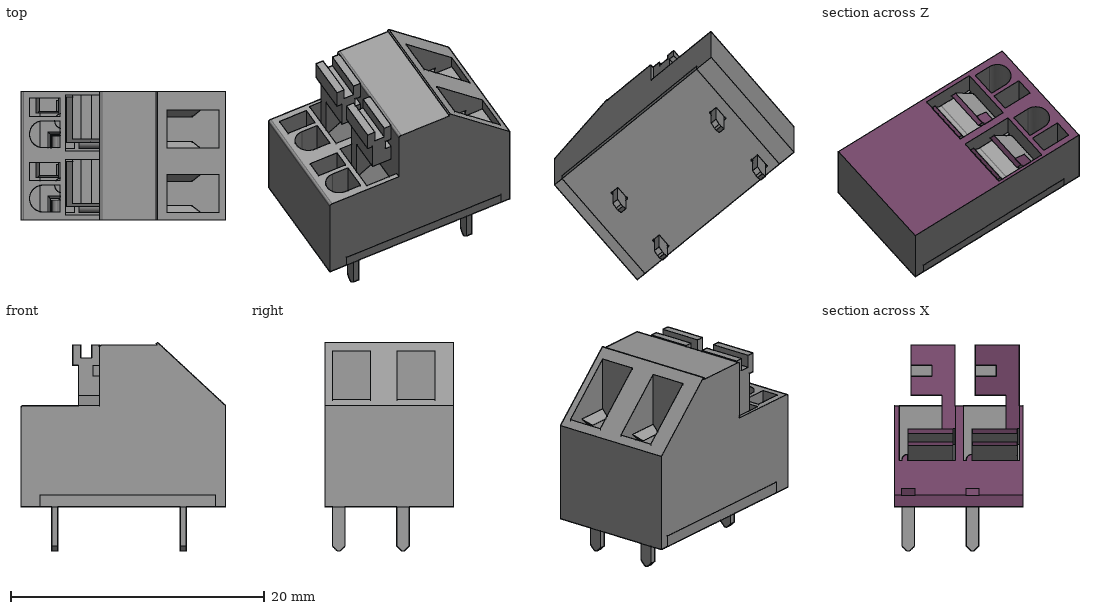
import cadquery as cq
import math

LENGTH = 16.2
PITCH = 5.08
POLES = 2
WIDTH = POLES * PITCH
SHELF_Z = 8.0
TOP_Z = 12.8
PEAK_Z = 13.0
PEAK_X = 10.82
LIP_X = 10.71
LIP_Z = 12.9
LIP_ROOT_X = 10.75
BACK_WALL_X = 6.22
EDGE_RADIUS = 0.2

COVER_X0 = 1.5
COVER_X1 = 15.41
COVER_TOP = 0.92

PIN_X = 2.45
PIN_SPACING = 2 * PITCH
SHEET = 0.5
PIN_WIDTH = 1.0
PIN_Y = 1.09
PIN_DEPTH = 3.5
PIN_TIP = 0.4
BEND_RADIUS = SHEET
STRIP_TOP = COVER_TOP + SHEET
TERMINAL_X1 = PIN_X + PIN_SPACING + SHEET

PIN_CLEARANCE = 0.1
LEAD_IN = 0.2

WELL_X0 = 0.7
WELL_X1 = 3.12
SQUARE_WELL_Y0 = 3.12
SQUARE_WELL_Y1 = 4.55
ROUND_WELL_Y = 1.7
ROUND_WELL_RADIUS = 1.05

PAD_X0 = 1.22
PAD_TOP_X0 = 1.47
PAD_TOP_X1 = 2.84
PAD_X1 = 3.0
PAD_Y0 = 3.37
PAD_BEVEL = 0.15
PAD_HEIGHT = 0.31
PAD_RAMP_RISE = 0.12
PAD_RAMP_Y1 = 4.37
RECESS_DIAMETER = 1.2
RECESS_X = 3.28
RECESS_Y = 2.75
RECESS_DEPTH = 0.16

POCKET_X0 = 3.53
POCKET_Y0 = 0.38
POCKET_Y1 = 4.8
POCKET_WELL_X1 = 4.25
POCKET_WELL_Y0 = 0.58
POCKET_WELL_DEPTH = 0.33
RIB_X0 = 4.62
RIB_RADIUS = 0.48

SPRING_ANGLE = math.radians(42)
SPRING_OUTER = 1.8 / 2
SPRING_INNER = 1.2 / 2
SPRING_Z = 5.75
SPRING_TIP_X = 3.63
SPRING_LEG = 1.32
SPRING_Y0 = 1.05
SPRING_Y1 = 4.64

LEVER_Y0 = 1.3
LEVER_HEAD_X = 4.11
LEVER_STEM_X = 4.55
LEVER_HEAD_Z = 11.19
GROOVE_X0 = 4.75
GROOVE_X1 = 5.6
GROOVE_Z = 11.78
NOTCH_X = 5.71
NOTCH_Z = 10.33
NOTCH_LENGTH = 1.65
STEM_Z = 8.81
FOOT_FRONT_Y = 3.95
FOOT_BACK_Y = 3.68

ENTRY_X0 = 11.55
ENTRY_X1 = 15.68
ENTRY_Y0 = 0.6
ENTRY_Y1 = 3.6
ENTRY_FLOOR = 7.42
WEDGE_X1 = 13.53
WEDGE_WIDTH = 0.55
WEDGE_RISE = 0.63
WEDGE_OVERHANG = 0.68

SPRING_SINE = math.sin(SPRING_ANGLE)
SPRING_COSINE = math.cos(SPRING_ANGLE)
SPRING_SLOPE = math.tan(SPRING_ANGLE)
SPRING_X = BACK_WALL_X + SPRING_OUTER * SPRING_SINE
CHAMBER_X1 = SPRING_X + SPRING_OUTER


def leaf_z(x, radius):
    """Height of the spring leaf surface that is tangent to the bend of the given radius."""
    return SPRING_Z + radius / SPRING_COSINE + (x - SPRING_X) * SPRING_SLOPE


POCKET_FLOOR = leaf_z(SPRING_TIP_X, SPRING_INNER)


def box(x0, x1, y0, y1, z0, z1):
    return cq.Workplane("XY").box(x1 - x0, y1 - y0, z1 - z0, centered=False).translate((x0, y0, z0))


def extrude_along_y(outline, y0, y1):
    """Extrude a closed XZ outline from y0 to y1."""
    return outline.close().extrude(y0 - y1).translate((0, y0, 0))


def housing_block():
    """Stepped block with a sloped end and a small overhanging lip along the top of the slope."""
    outline = cq.Workplane("XZ").polyline([
        (0, 0), (LENGTH, 0), (LENGTH, SHELF_Z), (PEAK_X, PEAK_Z), (LIP_X, LIP_Z),
        (LIP_ROOT_X, TOP_Z), (BACK_WALL_X, TOP_Z), (BACK_WALL_X, SHELF_Z), (0, SHELF_Z),
    ])
    block = extrude_along_y(outline, 0, WIDTH)
    front_edge = cq.selectors.NearestToPointSelector((0, WIDTH / 2, SHELF_Z))
    top_edge = cq.selectors.NearestToPointSelector((BACK_WALL_X, WIDTH / 2, TOP_Z))
    return block.edges(front_edge).fillet(EDGE_RADIUS).edges(top_edge).fillet(EDGE_RADIUS)


def wells():
    """Square well and round-ended well, both open down to the cover."""
    square = box(WELL_X0, WELL_X1, SQUARE_WELL_Y0, SQUARE_WELL_Y1, COVER_TOP, SHELF_Z)
    centre_x = WELL_X0 + ROUND_WELL_RADIUS
    rounded = (
        cq.Workplane("XY", origin=(0, ROUND_WELL_Y, COVER_TOP))
        .moveTo(WELL_X1, -ROUND_WELL_RADIUS)
        .lineTo(WELL_X1, ROUND_WELL_RADIUS)
        .lineTo(centre_x, ROUND_WELL_RADIUS)
        .threePointArc((WELL_X0, 0), (centre_x, -ROUND_WELL_RADIUS))
        .close()
        .extrude(SHELF_Z - COVER_TOP)
    )
    return square.union(rounded)


def lever_pocket():
    """Open pocket for the lever, with a round-topped chamber behind its back wall for the spring."""
    opening = box(POCKET_X0, BACK_WALL_X, POCKET_Y0, POCKET_Y1, POCKET_FLOOR, SHELF_Z)
    chamber = box(BACK_WALL_X, CHAMBER_X1, POCKET_Y0, POCKET_Y1, POCKET_FLOOR, SPRING_Z)
    bend_seat = (
        cq.Workplane("XZ", origin=(SPRING_X, POCKET_Y1, SPRING_Z))
        .circle(SPRING_OUTER)
        .extrude(POCKET_Y1 - POCKET_Y0)
    )
    corner_well = box(
        POCKET_X0, POCKET_WELL_X1, POCKET_WELL_Y0, SPRING_Y0, POCKET_FLOOR - POCKET_WELL_DEPTH, POCKET_FLOOR
    )
    rib = (
        cq.Workplane("YZ", origin=(RIB_X0, SPRING_Y0, POCKET_FLOOR))
        .lineTo(-RIB_RADIUS, 0)
        .radiusArc((0, RIB_RADIUS), RIB_RADIUS)
        .close()
        .extrude(CHAMBER_X1 - RIB_X0)
    )
    return opening.union(chamber).union(bend_seat).union(corner_well).cut(rib)


def wire_entry():
    """Entry with a flat floor and a sloping wedge along each side, undercut at its end."""
    shaft = box(ENTRY_X0, ENTRY_X1, ENTRY_Y0, ENTRY_Y1, ENTRY_FLOOR, PEAK_Z)
    wedge = (
        cq.Workplane("YZ", origin=(ENTRY_X0, ENTRY_Y0, ENTRY_FLOOR))
        .polyline([(0, 0), (WEDGE_WIDTH, 0), (0, WEDGE_RISE)])
        .close()
        .extrude(WEDGE_X1 + WEDGE_OVERHANG - ENTRY_X0)
    )
    undercut = extrude_along_y(
        cq.Workplane("XZ").polyline([
            (WEDGE_X1, ENTRY_FLOOR),
            (WEDGE_X1 + WEDGE_OVERHANG, ENTRY_FLOOR),
            (WEDGE_X1 + WEDGE_OVERHANG, ENTRY_FLOOR + WEDGE_RISE),
        ]),
        ENTRY_Y0, ENTRY_Y0 + WEDGE_WIDTH,
    )
    wedge = wedge.cut(undercut)
    opposite = wedge.mirror("XZ", (0, (ENTRY_Y0 + ENTRY_Y1) / 2, 0))
    return shaft.cut(wedge).cut(opposite)


def strip_slot():
    """Slot above the cover that holds the terminal strip."""
    y0 = PIN_Y - PIN_WIDTH / 2
    return box(PIN_X, TERMINAL_X1, y0, y0 + PIN_WIDTH, COVER_TOP, STRIP_TOP)


def make_housing():
    housing = housing_block().cut(box(COVER_X0, COVER_X1, 0, WIDTH, 0, COVER_TOP))
    for pole in range(POLES):
        for cavity in (wells(), lever_pocket(), wire_entry(), strip_slot()):
            housing = housing.cut(cavity.translate((0, pole * PITCH, 0)))
    return housing


def pin_opening(x):
    """Clearance hole for a pin with a tapered lead-in at the top."""
    length = SHEET + 2 * PIN_CLEARANCE
    width = PIN_WIDTH + 2 * PIN_CLEARANCE
    centre = (x + SHEET / 2, PIN_Y)
    hole = cq.Workplane("XY").center(*centre).rect(length, width).extrude(COVER_TOP)
    lead_in = (
        cq.Workplane("XY", origin=(0, 0, COVER_TOP - LEAD_IN))
        .center(*centre)
        .rect(length, width)
        .workplane(offset=LEAD_IN)
        .rect(length + 2 * LEAD_IN, width + 2 * LEAD_IN)
        .loft()
    )
    return hole.union(lead_in)


def cover_pad():
    """Flat pad with bevels on two sides and a low ramp at its far end."""
    top = COVER_TOP + PAD_HEIGHT
    outline = cq.Workplane("XZ").polyline([
        (PAD_X0, COVER_TOP), (PAD_X1, COVER_TOP), (PAD_X1, top), (PAD_TOP_X0, top),
    ])
    pad = extrude_along_y(outline, PAD_Y0, SQUARE_WELL_Y1)
    pad = pad.faces(">Z").edges("<Y").chamfer(PAD_BEVEL)
    ramp = cq.Workplane("XZ").polyline([
        (PAD_TOP_X1, top), (PAD_X1, top), (PAD_X1, top + PAD_RAMP_RISE),
    ])
    return pad.union(extrude_along_y(ramp, PAD_Y0 + PAD_BEVEL, PAD_RAMP_Y1))


def make_cover():
    cover = box(COVER_X0, COVER_X1, 0, WIDTH, 0, COVER_TOP)
    recess = (
        cq.Workplane("XY", origin=(RECESS_X, RECESS_Y, COVER_TOP - RECESS_DEPTH))
        .circle(RECESS_DIAMETER / 2)
        .extrude(RECESS_DEPTH)
    )
    for pole in range(POLES):
        shift = (0, pole * PITCH, 0)
        cover = cover.union(cover_pad().translate(shift)).cut(recess.translate(shift))
        for pin_x in (PIN_X, PIN_X + PIN_SPACING):
            cover = cover.cut(pin_opening(pin_x).translate(shift))
    return cover


def make_terminal():
    """U-shaped strip with rounded outer bends and pointed pins."""
    y0 = PIN_Y - PIN_WIDTH / 2
    y1 = y0 + PIN_WIDTH
    strip = box(PIN_X, TERMINAL_X1, y0, y1, -PIN_DEPTH, STRIP_TOP)
    strip = strip.cut(box(PIN_X + SHEET, TERMINAL_X1 - SHEET, y0, y1, -PIN_DEPTH, COVER_TOP))
    strip = strip.faces(">Z").edges("|Y").fillet(BEND_RADIUS)
    return strip.faces("<Z").edges("|X").chamfer(PIN_TIP)


def make_spring():
    """Leaf rising to a bend and returning as a short level leg."""
    leg_x = SPRING_X - SPRING_LEG
    outline = (
        cq.Workplane("XZ")
        .moveTo(SPRING_TIP_X, leaf_z(SPRING_TIP_X, SPRING_OUTER))
        .lineTo(SPRING_X - SPRING_OUTER * SPRING_SINE, SPRING_Z + SPRING_OUTER * SPRING_COSINE)
        .threePointArc((SPRING_X + SPRING_OUTER, SPRING_Z), (SPRING_X, SPRING_Z - SPRING_OUTER))
        .lineTo(leg_x, SPRING_Z - SPRING_OUTER)
        .lineTo(leg_x, SPRING_Z - SPRING_INNER)
        .lineTo(SPRING_X, SPRING_Z - SPRING_INNER)
        .threePointArc(
            (SPRING_X + SPRING_INNER, SPRING_Z),
            (SPRING_X - SPRING_INNER * SPRING_SINE, SPRING_Z + SPRING_INNER * SPRING_COSINE),
        )
        .lineTo(SPRING_TIP_X, leaf_z(SPRING_TIP_X, SPRING_INNER))
    )
    return extrude_along_y(outline, SPRING_Y0, SPRING_Y1)


def make_lever():
    """Grooved head, stem with a blind notch behind it, and tapered foot on the spring leaf."""
    head = extrude_along_y(
        cq.Workplane("XZ").polyline([
            (LEVER_HEAD_X, TOP_Z), (GROOVE_X0, TOP_Z), (GROOVE_X0, GROOVE_Z), (GROOVE_X1, GROOVE_Z),
            (GROOVE_X1, TOP_Z), (BACK_WALL_X, TOP_Z),
            (BACK_WALL_X, STEM_Z), (LEVER_STEM_X, STEM_Z), (LEVER_STEM_X, LEVER_HEAD_Z),
            (LEVER_HEAD_X, LEVER_HEAD_Z),
        ]),
        LEVER_Y0, POCKET_Y1,
    )
    notch = box(NOTCH_X, BACK_WALL_X, LEVER_Y0, LEVER_Y0 + NOTCH_LENGTH, NOTCH_Z, LEVER_HEAD_Z)
    foot = (
        cq.Workplane("XY", origin=(0, 0, POCKET_FLOOR))
        .polyline([
            (LEVER_STEM_X, FOOT_FRONT_Y), (BACK_WALL_X, FOOT_BACK_Y),
            (BACK_WALL_X, POCKET_Y1), (LEVER_STEM_X, POCKET_Y1),
        ])
        .close()
        .extrude(STEM_Z - POCKET_FLOOR)
    )
    below_leaf = extrude_along_y(
        cq.Workplane("XZ").polyline([
            (LEVER_STEM_X, POCKET_FLOOR), (BACK_WALL_X, POCKET_FLOOR),
            (BACK_WALL_X, leaf_z(BACK_WALL_X, SPRING_OUTER)),
            (LEVER_STEM_X, leaf_z(LEVER_STEM_X, SPRING_OUTER)),
        ]),
        FOOT_BACK_Y, POCKET_Y1,
    )
    return head.cut(notch).union(foot.cut(below_leaf))


def for_each_pole(make_body):
    return [make_body().translate((0, pole * PITCH, 0)).val() for pole in range(POLES)]


housing = make_housing()
cover = make_cover()
terminals = for_each_pole(make_terminal)
springs = for_each_pole(make_spring)
levers = for_each_pole(make_lever)

result = cq.Compound.makeCompound([housing.val(), cover.val(), *terminals, *springs, *levers])